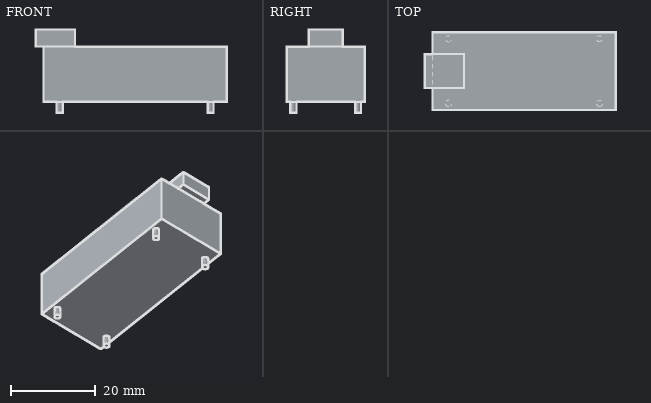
import cadquery as cq

body_length = 43.2
body_width = 18.4
body_height = 13.0

overall_length = 45.0
block_length = 9.3
block_width = 8.0
block_height = 4.05
block_overhang = overall_length - body_length

pin_length = 2.55
large_pin_diameter = 1.55
medium_pin_diameter = 1.45
small_pin_diameter = 1.35
pin_end_distance = 3.83
pin_spacing_x = 35.55
pin_spacing_y = 15.2
pin_overlap = 0.45
pin_middle_x = pin_end_distance + pin_spacing_x / 2

body = cq.Workplane("XY").box(body_length, body_width, body_height, centered=(False, True, False))

top_block = (
    cq.Workplane("XY", origin=(-block_overhang, 0, body_height))
    .box(block_length, block_width, block_height, centered=(False, True, False))
)



def make_pin(diameter, x_side, y_side):
    """Round pin at one corner: x_side and y_side are -1 or 1."""
    x = pin_middle_x + x_side * pin_spacing_x / 2
    y = y_side * pin_spacing_y / 2
    return (
        cq.Workplane("XY", origin=(x, y, -pin_length))
        .circle(diameter / 2)
        .extrude(pin_length + pin_overlap)
    )


pins = [
    make_pin(large_pin_diameter, -1, -1),
    make_pin(medium_pin_diameter, -1, 1),
    make_pin(medium_pin_diameter, 1, -1),
    make_pin(small_pin_diameter, 1, 1),
]

result = body.union(top_block)
for pin in pins:
    result = result.union(pin)